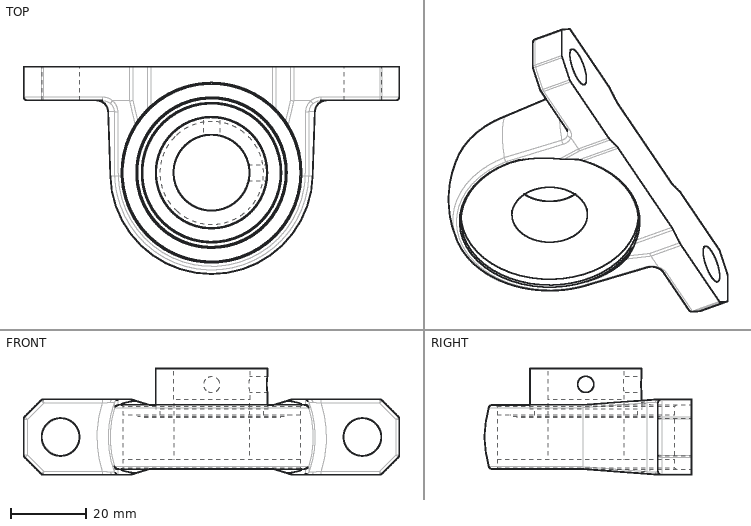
import cadquery as cq
import math

LENGTH = 99.6
OVERALL_HEIGHT = 28.3
FOOT_HEIGHT = 20.0
FOOT_THICKNESS = 9.0
BACK_Y = 28.1
FOOT_FRONT_Y = BACK_Y - FOOT_THICKNESS
CORNER_CUT = 4.9
CORNER_ROUND = 0.8
BOLT_SPACING = 80.0
BOLT_DIAMETER = 10.0

RING_RADIUS = 26.9
RING_HEIGHT = 17.0
FLARE_ANGLE = 1.8
RING_EDGE_RADIUS = math.sqrt(RING_RADIUS ** 2 - (RING_HEIGHT / 2) ** 2)
SLOPE_START_Y = -RING_EDGE_RADIUS * math.sin(math.radians(FLARE_ANGLE))
RECESS_INNER_X = 16.5
RECESS_OUTER_X = 21.3
RAMP_BLEND = 3.0

CORNER_BLEND = 3.0
EDGE_ROUND = 1.0
SEAT_DIAMETER = 47.0
SEAT_CHAMFER = 0.4
MARGIN = 0.1

RACE_HEIGHT = 11.8
RACE_INNER_DIAMETER = 40.0
RACE_CHAMFER = 0.4
SHIELD_STEP_DIAMETER = 37.2
SHIELD_DIAMETER = 36.6
SHIELD_DROP = 0.3
NECK_DIAMETER = 27.4
COLLAR_DIAMETER = 29.7
COLLAR_BOTTOM_Z = 7.5
COLLAR_TOP_Z = OVERALL_HEIGHT - FOOT_HEIGHT / 2
COLLAR_CHAMFER = 0.2
BORE_DIAMETER = 20.0
COLLAR_BORE_DIAMETER = 20.2
COLLAR_BORE_BOTTOM_Z = 10.0
SCREW_DIAMETER = 4.3
SCREW_Z = 13.9
SCREW_ANGLES = (0, 90)


def revolved(profile):
    """Solid of revolution about Z from (radius, height) points."""
    return cq.Workplane("XZ").polyline(profile).close().revolve(360, (0, 0, 0), (0, 1, 0))


def make_foot():
    """Bar with cut corners that carries the bolt holes."""
    return (
        cq.Workplane("XZ", origin=(0, BACK_Y, 0))
        .rect(LENGTH, FOOT_HEIGHT)
        .extrude(FOOT_THICKNESS)
        .edges("|Y")
        .chamfer(CORNER_CUT)
        .edges("|Y")
        .fillet(CORNER_ROUND)
    )


def make_body():
    """Ball-shaped front running into two slightly flared barrel-shaped side walls."""
    body = cq.Workplane("XY").sphere(RING_RADIUS)
    wall = cq.Workplane("XZ").circle(RING_RADIUS).extrude(-2 * BACK_Y)
    for angle in (-FLARE_ANGLE, FLARE_ANGLE):
        body = body.union(wall.rotate((0, 0, 0), (0, 0, 1), angle))
    slab = cq.Workplane("XY").box(LENGTH, 2 * BACK_Y, FOOT_HEIGHT)
    return body.intersect(slab)


def make_side_envelope():
    """Heights along Y: low around the ring, rising to the foot."""
    low = RING_HEIGHT / 2
    high = FOOT_HEIGHT / 2
    return (
        cq.Workplane("YZ")
        .polyline([
            (-LENGTH, -low), (SLOPE_START_Y, -low), (FOOT_FRONT_Y, -high), (BACK_Y, -high),
            (BACK_Y, high), (FOOT_FRONT_Y, high), (SLOPE_START_Y, low), (-LENGTH, low),
        ])
        .close()
        .extrude(LENGTH, both=True)
    )


def make_front_envelope():
    """Heights along X: low in the middle, with ramps up to the foot ends."""
    low = RING_HEIGHT / 2
    high = FOOT_HEIGHT / 2
    upper = [
        (-LENGTH, high), (-RECESS_OUTER_X, high), (-RECESS_INNER_X, low),
        (RECESS_INNER_X, low), (RECESS_OUTER_X, high), (LENGTH, high),
    ]
    lower = [(x, -z) for x, z in reversed(upper)]
    return cq.Workplane("XZ").polyline(upper + lower).close().extrude(LENGTH, both=True)


def blend_corners(housing):
    """Concave fillets where the side walls meet the front of the foot."""
    corners = cq.selectors.BoxSelector(
        (-BOLT_SPACING / 2, FOOT_FRONT_Y - MARGIN, -MARGIN),
        (BOLT_SPACING / 2, FOOT_FRONT_Y + MARGIN, MARGIN),
    )
    return housing.edges("%ELLIPSE").edges(corners).fillet(CORNER_BLEND)


def is_rim_edge(edge):
    """True for the front outline of the foot and the upper and lower outlines of walls and ring."""
    box = edge.BoundingBox()
    on_foot_end = max(abs(box.xmin), abs(box.xmax)) > BOLT_SPACING / 2
    in_front = box.ymax < FOOT_FRONT_Y + MARGIN
    crosses_middle_height = box.zmin < 0 < box.zmax
    across_slope_fold = edge.geomType() == "LINE" and box.xmin < 0 < box.xmax
    return in_front and not across_slope_fold and (on_foot_end or not crosses_middle_height)


def round_rim(housing):
    rim = [edge for edge in housing.edges().vals() if is_rim_edge(edge)]
    return housing.newObject(rim).fillet(EDGE_ROUND)


def is_ramp_edge(edge):
    """True for the edges along the foot and the heel of each ramp."""
    box = edge.BoundingBox()
    nearest_x = min(abs(box.xmin), abs(box.xmax))
    farthest_x = max(abs(box.xmin), abs(box.xmax))
    between_ramp_ends = nearest_x > RECESS_INNER_X - MARGIN and farthest_x < RECESS_OUTER_X + MARGIN
    return between_ramp_ends and box.ylen > FOOT_THICKNESS - MARGIN


def blend_ramps(housing):
    ramp_edges = [edge for edge in housing.edges("not |X").vals() if is_ramp_edge(edge)]
    return housing.newObject(ramp_edges).fillet(RAMP_BLEND)


def cut_seat(housing):
    """Round opening for the bearing, widened by a chamfer at both ends."""
    half = RING_HEIGHT / 2
    radius = SEAT_DIAMETER / 2
    wide = radius + SEAT_CHAMFER
    profile = [
        (0, -FOOT_HEIGHT), (wide, -FOOT_HEIGHT), (wide, -half), (radius, SEAT_CHAMFER - half),
        (radius, half - SEAT_CHAMFER), (wide, half), (wide, FOOT_HEIGHT), (0, FOOT_HEIGHT),
    ]
    return housing.cut(revolved(profile))


def cut_bolt_holes(housing):
    holes = (
        cq.Workplane("XZ", origin=(0, BACK_Y, 0))
        .pushPoints([(-BOLT_SPACING / 2, 0), (BOLT_SPACING / 2, 0)])
        .circle(BOLT_DIAMETER / 2)
        .extrude(FOOT_THICKNESS)
    )
    return housing.cut(holes)


def make_housing():
    housing = make_foot().union(make_body()).intersect(make_side_envelope())
    housing = blend_corners(housing)
    housing = round_rim(housing)
    housing = housing.intersect(make_front_envelope())
    housing = blend_ramps(housing)
    housing = cut_seat(housing)
    return cut_bolt_holes(housing)


def make_bearing():
    """Race, recessed shield, neck and set-screw collar around one bore."""
    top = RACE_HEIGHT / 2
    ledge = top - RACE_CHAMFER
    shield = ledge - SHIELD_DROP
    race_inner = RACE_INNER_DIAMETER / 2
    collar = COLLAR_DIAMETER / 2
    bore = BORE_DIAMETER / 2
    collar_bore = COLLAR_BORE_DIAMETER / 2
    profile = [
        (bore, -top), (SEAT_DIAMETER / 2, -top), (SEAT_DIAMETER / 2, top),
        (race_inner, top), (race_inner - RACE_CHAMFER, ledge),
        (SHIELD_STEP_DIAMETER / 2, ledge), (SHIELD_DIAMETER / 2, shield),
        (NECK_DIAMETER / 2, shield), (NECK_DIAMETER / 2, COLLAR_BOTTOM_Z), (collar, COLLAR_BOTTOM_Z),
        (collar, COLLAR_TOP_Z - COLLAR_CHAMFER), (collar - COLLAR_CHAMFER, COLLAR_TOP_Z),
        (collar_bore, COLLAR_TOP_Z), (collar_bore, COLLAR_BORE_BOTTOM_Z), (bore, COLLAR_BORE_BOTTOM_Z),
    ]
    bearing = revolved(profile)
    along_x = cq.Workplane("YZ").center(0, SCREW_Z).circle(SCREW_DIAMETER / 2).extrude(COLLAR_DIAMETER)
    for angle in SCREW_ANGLES:
        bearing = bearing.cut(along_x.rotate((0, 0, 0), (0, 0, 1), angle))
    return bearing


housing = make_housing()
bearing = make_bearing()
result = cq.Compound.makeCompound([housing.val(), bearing.val()])